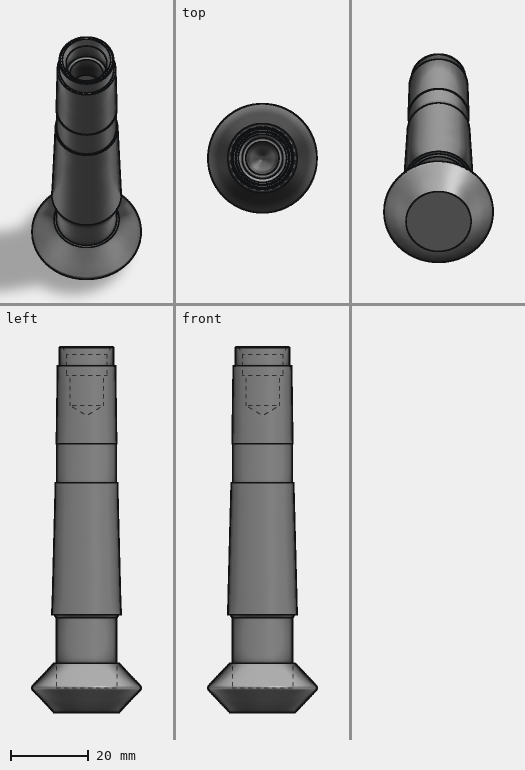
import cadquery as cq
import math

foot_height = 12.7
foot_rim_radius = 28.1 / 2
foot_end_radius = 16.7 / 2
stem_seat_depth = foot_height / 2
stem_bottom_z = foot_height - stem_seat_depth
rim_center_radius = 26.3 / 2

total_height = 94
collar_z = 25.1
collar_relief_height = 0.75
lower_taper_height = 34.0
band_height = 10.0
upper_taper_height = 20.0
top_chamfer = 0.3

stem_radius = 15.5 / 2
collar_relief_radius = 16.45 / 2
lower_taper_bottom_radius = 17.9 / 2
lower_taper_top_radius = 16.1 / 2
band_radius = 15.3 / 2
upper_taper_bottom_radius = 15.6 / 2
upper_taper_top_radius = 15 / 2
spigot_radius = 14.0 / 2

bore_radius = 10.5 / 2
bore_depth = 7.2
mouth_radius = 12.4 / 2
mouth_depth = 1.9
pilot_radius = 8.6 / 2
pilot_depth = 15
drill_point_angle = 118


def make_foot():
    """Revolve the double cone with its stem hole; the rim arc is tangent to both cones."""
    mid_z = foot_height / 2
    rim_round = foot_rim_radius - rim_center_radius
    run = rim_center_radius - foot_end_radius
    reach = math.hypot(run, mid_z)
    tangent_angle = math.pi - math.atan2(mid_z, run) - math.acos(rim_round / reach)
    tangent_radius = rim_center_radius + rim_round * math.cos(tangent_angle)
    tangent_rise = rim_round * math.sin(tangent_angle)
    return (
        cq.Workplane("XZ")
        .lineTo(foot_end_radius, 0)
        .lineTo(tangent_radius, mid_z - tangent_rise)
        .threePointArc((foot_rim_radius, mid_z), (tangent_radius, mid_z + tangent_rise))
        .lineTo(foot_end_radius, foot_height)
        .lineTo(stem_radius, foot_height)
        .lineTo(stem_radius, stem_bottom_z)
        .lineTo(0, stem_bottom_z)
        .close()
        .revolve(360, (0, 0), (0, 1))
    )


def make_shaft_body():
    """Revolve the stem, its flared collar, both tapers, the band between them and the top spigot."""
    band_z = collar_z + lower_taper_height
    upper_taper_z = band_z + band_height
    spigot_z = upper_taper_z + upper_taper_height
    outline = [
        (0, stem_bottom_z),
        (stem_radius, stem_bottom_z),
        (stem_radius, collar_z - collar_relief_height),
        (collar_relief_radius, collar_z),
        (lower_taper_bottom_radius, collar_z),
        (lower_taper_top_radius, band_z),
        (band_radius, band_z),
        (band_radius, upper_taper_z),
        (upper_taper_bottom_radius, upper_taper_z),
        (upper_taper_top_radius, spigot_z),
        (spigot_radius, spigot_z),
        (spigot_radius, total_height - top_chamfer),
        (spigot_radius - top_chamfer, total_height),
        (0, total_height),
    ]
    return cq.Workplane("XZ").polyline(outline).close().revolve(360, (0, 0), (0, 1))


def make_socket():
    """Revolve the void: flared mouth, bore, pilot hole and its drill point."""
    pilot_floor_z = total_height - pilot_depth
    ledge_z = total_height - bore_depth
    point_depth = pilot_radius / math.tan(math.radians(drill_point_angle / 2))
    outline = [
        (0, pilot_floor_z - point_depth),
        (pilot_radius, pilot_floor_z),
        (pilot_radius, ledge_z),
        (bore_radius, ledge_z),
        (bore_radius, total_height - mouth_depth),
        (mouth_radius, total_height),
        (0, total_height),
    ]
    return cq.Workplane("XZ").polyline(outline).close().revolve(360, (0, 0), (0, 1))


foot = make_foot()
shaft = make_shaft_body().cut(make_socket())

result = cq.Compound.makeCompound([foot.val(), shaft.val()])